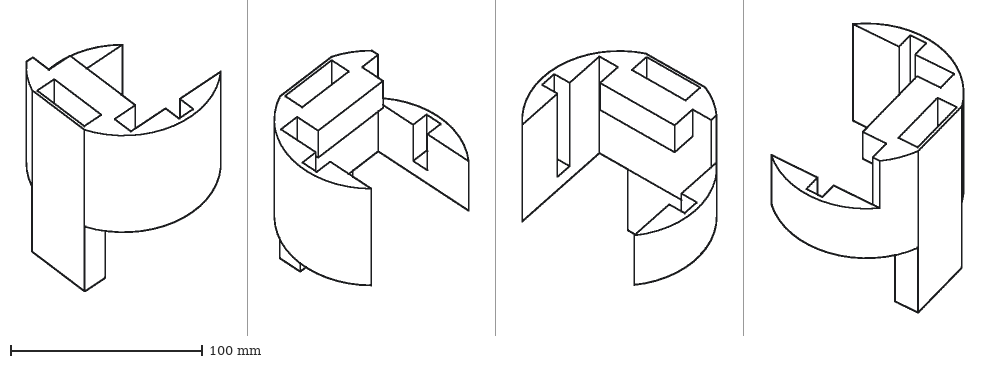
import cadquery as cq
import math

height = 120.0
body_radius = 51.0
body_bottom = 48.1
flat_width = 40.0
front_y = -math.sqrt(body_radius**2 - (flat_width / 2) ** 2)

cavity_width = 75.0
cavity_front_y = -30.0
back_y = math.sqrt(body_radius**2 - (cavity_width / 2) ** 2)

leg_width = 40.5
leg_back_y = -32.2
block_width = 50.0
block_depth = 15.0
block_height = 20.0
slot_width = 36.0
slot_depth = 12.2
slot_front_wall = 1.8

left_wall_top = 85.0
groove_width = 10.2
groove_depth = 10.3
groove_floor = 10.0


def box(x_min, x_max, y_min, y_max, z_min, z_max):
    """Box given by its limits along each axis."""
    size = (x_max - x_min, y_max - y_min, z_max - z_min)
    return cq.Workplane("XY").box(*size, centered=False).translate((x_min, y_min, z_min))


def centered_box(width, y_min, y_max, z_min, z_max):
    """Box centred on the plane X = 0."""
    return box(-width / 2, width / 2, y_min, y_max, z_min, z_max)


def make_shell():
    """C-shaped body with a flat front and an open back."""
    base = cq.Workplane("XY").workplane(offset=body_bottom)
    cylinder = base.circle(body_radius).extrude(height - body_bottom)
    trimmed = cylinder.intersect(centered_box(2 * body_radius, front_y, back_y, 0, height))
    return trimmed.cut(centered_box(cavity_width, cavity_front_y, body_radius, 0, height))


def make_leg():
    """Leg below the body, its front corners following the round outline."""
    outline = cq.Workplane("XY").circle(body_radius).extrude(height)
    return outline.intersect(centered_box(leg_width, front_y, leg_back_y, 0, height))


def make_block():
    """Block projecting into the cavity at the top."""
    return centered_box(
        block_width, cavity_front_y, cavity_front_y + block_depth, height - block_height, height
    )


def make_slot():
    """Rectangular slot through the leg and the front wall."""
    slot_front_y = front_y + slot_front_wall
    return centered_box(slot_width, slot_front_y, slot_front_y + slot_depth, 0, height)


def make_grooves():
    """Bar across the cavity that leaves facing grooves in both side walls, closed at the bottom."""
    width = cavity_width + 2 * groove_depth
    return centered_box(width, -groove_width / 2, groove_width / 2, body_bottom + groove_floor, height)


def make_left_wall_cut():
    """Volume that lowers the left side wall."""
    return box(-body_radius, -cavity_width / 2, -body_radius, body_radius, left_wall_top, height)


result = make_shell().union(make_leg()).union(make_block())
result = result.cut(make_slot()).cut(make_grooves()).cut(make_left_wall_cut())